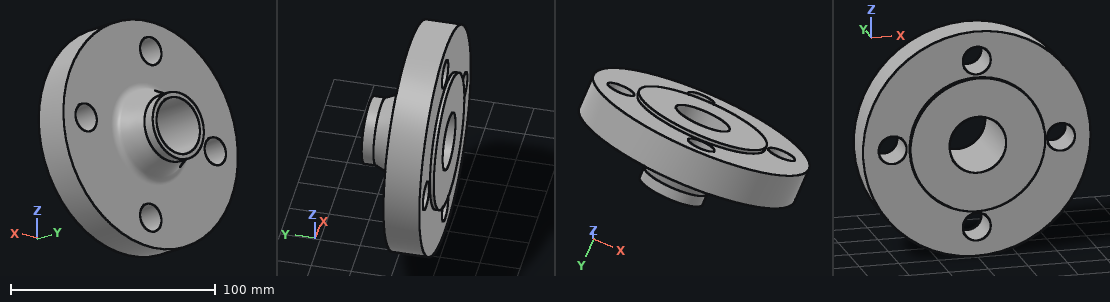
import cadquery as cq

flange_diameter = 115.0
flange_thickness = 18.0
face_diameter = 68.0
face_height = 2.0
bore_diameter = 28.5
overall_length = 40.0
neck_diameter = 33.7
neck_length = 6.0
hub_base_diameter = 46.0
hub_fillet_radius = 4.0
bolt_circle_diameter = 85.0
bolt_hole_diameter = 14.0
bolt_count = 4

flange_front = face_height
flange_back = flange_front + flange_thickness
neck_start = overall_length - neck_length


def disc(diameter, start, end):
    """Solid cylinder about the Y axis between two stations."""
    plane = cq.Plane(origin=(0, start, 0), xDir=(1, 0, 0), normal=(0, 1, 0))
    return cq.Workplane(plane).circle(diameter / 2).extrude(end - start)


def flange_with_hub():
    """Flange disc and tapered hub, blended where they meet."""
    profile = (
        cq.Workplane("XY")
        .moveTo(0, flange_front)
        .lineTo(flange_diameter / 2, flange_front)
        .lineTo(flange_diameter / 2, flange_back)
        .lineTo(hub_base_diameter / 2, flange_back)
        .lineTo(neck_diameter / 2, neck_start)
        .lineTo(neck_diameter / 2, overall_length)
        .lineTo(0, overall_length)
        .close()
    )
    body = profile.revolve(360, (0, 0, 0), (0, 1, 0))
    hub_base = cq.selectors.RadiusNthSelector(1)
    return body.edges(hub_base).fillet(hub_fillet_radius)


def bolt_holes():
    """Cylinders on the bolt circle, passing through the flange."""
    plane = cq.Plane(origin=(0, flange_front, 0), xDir=(1, 0, 0), normal=(0, 1, 0))
    return (
        cq.Workplane(plane)
        .polarArray(bolt_circle_diameter / 2, 0, 360, bolt_count)
        .circle(bolt_hole_diameter / 2)
        .extrude(flange_thickness)
    )


raised_face = disc(face_diameter, 0, flange_front)
bore = disc(bore_diameter, 0, overall_length)

result = flange_with_hub().union(raised_face).cut(bore).cut(bolt_holes())